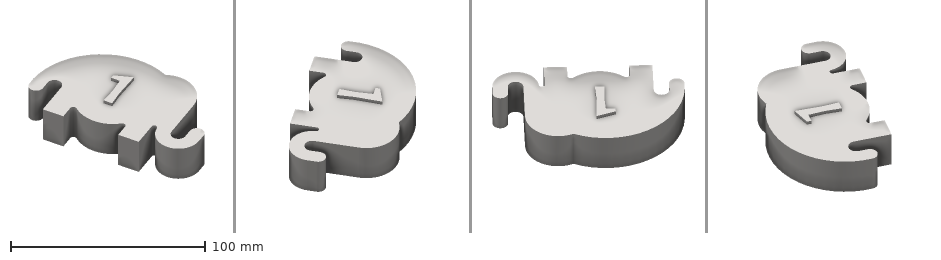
import cadquery as cq
import math

BODY_THICKNESS = 20.0
NUMERAL_RISE = 2.0
EYE_DEPTH = 2.0

LIMB_WIDTH = 8.0
LEG_WIDTH = 12.0
BELLY_SPAN = 32.0
TRUNK_GAP = 3.0

CURL_HEIGHT = 15.3
TIP_HEIGHT = 20.3
NOTCH_HEIGHT = 14.2
BELLY_BOTTOM = 4.1
BACK_TOP = 58.4
HEAD_TOP = 56.1

LIMB_RADIUS = LIMB_WIDTH / 2
TRUNK_RADIUS = 3 * LIMB_RADIUS
BACK_RADIUS = 40.8
HEAD_RADIUS = 17.0
BELLY_RADIUS = 20.0
BELLY_FILLET = 1.8

EYE_CENTER = (78.0, 34.1)
EYE_RADIUS = 2.6
PUPIL_RADIUS = 1.4
PUPIL_OFFSET = 1.4

NUMERAL_LEFT = 36.3
NUMERAL_STEM_LEFT = 41.3
NUMERAL_RIGHT = 46.4
NUMERAL_BOTTOM = 19.0
NUMERAL_WAIST = 27.7
NUMERAL_FLAG_BOTTOM = 36.9
NUMERAL_FLAG_TOP = 39.3
NUMERAL_TOP = 42.9
WAIST_INSET = 0.5

TAIL_FRONT = LIMB_WIDTH
REAR_LEG_BACK = TAIL_FRONT + LIMB_WIDTH
REAR_LEG_FRONT = REAR_LEG_BACK + LEG_WIDTH
FRONT_LEG_BACK = REAR_LEG_FRONT + BELLY_SPAN
FRONT_LEG_FRONT = FRONT_LEG_BACK + LEG_WIDTH
TRUNK_BACK = FRONT_LEG_FRONT + TRUNK_GAP
TRUNK_CENTER = TRUNK_BACK + TRUNK_RADIUS
FACE = TRUNK_CENTER - LIMB_RADIUS
TRUNK_TIP_BACK = TRUNK_CENTER + LIMB_RADIUS
TRUNK_FRONT = TRUNK_CENTER + TRUNK_RADIUS

BACK_CENTER = (BACK_RADIUS, BACK_TOP - BACK_RADIUS)
HEAD_CENTER = (FACE - HEAD_RADIUS, HEAD_TOP - HEAD_RADIUS)
BELLY_CENTER = ((REAR_LEG_FRONT + FRONT_LEG_BACK) / 2, BELLY_BOTTOM + BELLY_RADIUS)


def point_on_circle(center, radius, angle):
    return (center[0] + radius * math.cos(angle), center[1] + radius * math.sin(angle))


def direction(start, end):
    return math.atan2(end[1] - start[1], end[0] - start[0])


def nape_point():
    """Upper crossing of the back circle and the head circle."""
    distance = math.dist(BACK_CENTER, HEAD_CENTER)
    cosine = (BACK_RADIUS**2 + distance**2 - HEAD_RADIUS**2) / (2 * BACK_RADIUS * distance)
    angle = direction(BACK_CENTER, HEAD_CENTER) + math.acos(cosine)
    return point_on_circle(BACK_CENTER, BACK_RADIUS, angle)


def rump_point():
    """Lower end of the back arc, where the round tail end begins."""
    angle = math.pi + math.asin((BACK_CENTER[1] - CURL_HEIGHT) / BACK_RADIUS)
    return point_on_circle(BACK_CENTER, BACK_RADIUS, angle)


def belly_fillet():
    """Wall point, top and belly point of the fillet between the rear leg and the belly.

    The fillet touches the vertical leg wall and the outside of the belly circle.
    """
    fillet_x = REAR_LEG_FRONT + BELLY_FILLET
    reach = BELLY_RADIUS + BELLY_FILLET
    fillet_y = BELLY_CENTER[1] - math.sqrt(reach**2 - (BELLY_CENTER[0] - fillet_x) ** 2)
    touch = point_on_circle(BELLY_CENTER, BELLY_RADIUS, direction(BELLY_CENTER, (fillet_x, fillet_y)))
    return (REAR_LEG_FRONT, fillet_y), (fillet_x, fillet_y + BELLY_FILLET), touch


def trunk_notch():
    """Trunk point, top and leg point of the round between the trunk and the front leg."""
    angle = math.pi + math.asin((CURL_HEIGHT - NOTCH_HEIGHT) / TRUNK_RADIUS)
    trunk_end = point_on_circle((TRUNK_CENTER, CURL_HEIGHT), TRUNK_RADIUS, angle)
    notch_radius = TRUNK_GAP / 2
    top = (FRONT_LEG_FRONT + notch_radius, NOTCH_HEIGHT + notch_radius)
    return trunk_end, top, (FRONT_LEG_FRONT, NOTCH_HEIGHT)


def mirrored_at_belly(point):
    return (2 * BELLY_CENTER[0] - point[0], point[1])


def elephant_outline():
    """Closed side outline, drawn from the tail over the back and round to the tail again."""
    nape = nape_point()
    rump = rump_point()
    back_mid = point_on_circle(BACK_CENTER, BACK_RADIUS, (math.pi + direction(BACK_CENTER, nape)) / 2)
    head_mid = point_on_circle(HEAD_CENTER, HEAD_RADIUS, direction(HEAD_CENTER, nape) / 2)
    trunk_end, notch_top, notch_wall = trunk_notch()
    belly_wall, belly_top, belly_touch = belly_fillet()
    return (
        cq.Workplane("XY")
        .moveTo(*rump)
        .threePointArc(back_mid, nape)
        .threePointArc(head_mid, (FACE, HEAD_CENTER[1]))
        .lineTo(FACE, CURL_HEIGHT)
        .threePointArc((TRUNK_CENTER, CURL_HEIGHT - LIMB_RADIUS), (TRUNK_TIP_BACK, CURL_HEIGHT))
        .lineTo(TRUNK_TIP_BACK, TIP_HEIGHT)
        .threePointArc(
            (TRUNK_TIP_BACK + LIMB_RADIUS, TIP_HEIGHT + LIMB_RADIUS), (TRUNK_FRONT, TIP_HEIGHT)
        )
        .lineTo(TRUNK_FRONT, CURL_HEIGHT)
        .threePointArc((TRUNK_CENTER, CURL_HEIGHT - TRUNK_RADIUS), trunk_end)
        .threePointArc(notch_top, notch_wall)
        .lineTo(FRONT_LEG_FRONT, 0)
        .lineTo(FRONT_LEG_BACK, 0)
        .lineTo(*mirrored_at_belly(belly_wall))
        .threePointArc(mirrored_at_belly(belly_top), mirrored_at_belly(belly_touch))
        .threePointArc((BELLY_CENTER[0], BELLY_BOTTOM), belly_touch)
        .threePointArc(belly_top, belly_wall)
        .lineTo(REAR_LEG_FRONT, 0)
        .lineTo(REAR_LEG_BACK, 0)
        .lineTo(REAR_LEG_BACK, TIP_HEIGHT)
        .threePointArc((TAIL_FRONT + LIMB_RADIUS, TIP_HEIGHT + LIMB_RADIUS), (TAIL_FRONT, TIP_HEIGHT))
        .lineTo(TAIL_FRONT, CURL_HEIGHT)
        .threePointArc((LIMB_RADIUS, CURL_HEIGHT - LIMB_RADIUS), rump)
        .close()
    )


def make_eye():
    """Crescent inlay, flush with the top face."""
    floor = cq.Workplane("XY", origin=(*EYE_CENTER, BODY_THICKNESS - EYE_DEPTH))
    disc = floor.circle(EYE_RADIUS).extrude(EYE_DEPTH)
    pupil = floor.center(PUPIL_OFFSET, 0).circle(PUPIL_RADIUS).extrude(EYE_DEPTH)
    return disc.cut(pupil)


def make_elephant(eye):
    """Flat elephant with a pocket that matches the eye."""
    return elephant_outline().extrude(BODY_THICKNESS).cut(eye)


def make_numeral():
    """Raised "1" that stands on the top face, its stem narrowing to a waist."""
    outline = [
        (NUMERAL_STEM_LEFT, NUMERAL_BOTTOM),
        (NUMERAL_RIGHT, NUMERAL_BOTTOM),
        (NUMERAL_RIGHT - WAIST_INSET, NUMERAL_WAIST),
        (NUMERAL_RIGHT, NUMERAL_TOP),
        (NUMERAL_LEFT, NUMERAL_FLAG_TOP),
        (NUMERAL_LEFT, NUMERAL_FLAG_BOTTOM),
        (NUMERAL_STEM_LEFT, NUMERAL_FLAG_BOTTOM),
        (NUMERAL_STEM_LEFT + WAIST_INSET, NUMERAL_WAIST),
    ]
    return cq.Workplane("XY").workplane(offset=BODY_THICKNESS).polyline(outline).close().extrude(NUMERAL_RISE)


eye = make_eye()
elephant = make_elephant(eye)
numeral = make_numeral()

result = cq.Compound.makeCompound([elephant.val(), eye.val(), numeral.val()])